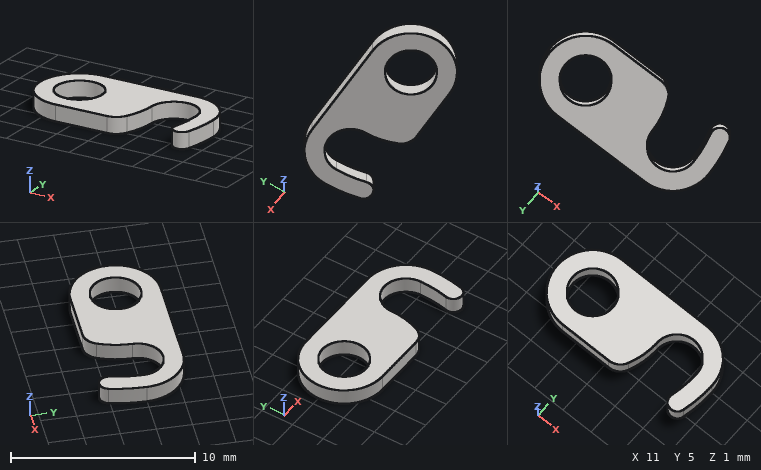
import cadquery as cq
import math

length = 11.0
width = 5.0
thickness = 1.0
hole_diameter = 2.8
corner_radius = 1.0

end_radius = width / 2
hole_radius = hole_diameter / 2
hook_x = length - width

mouth_radius = hook_x - hole_radius
arm_inner_radius = hook_x + hole_radius
arm_outer_radius = hook_x + end_radius

tip_radius = (arm_outer_radius - arm_inner_radius) / 2
tip_path_radius = arm_inner_radius + tip_radius
tip_angle = -math.asin((end_radius - tip_radius) / tip_path_radius)

corner_path_radius = mouth_radius - corner_radius
corner_y = corner_radius - end_radius
corner_angle = math.asin(corner_y / corner_path_radius)
corner_x = corner_path_radius * math.cos(corner_angle)


def on_circle(radius, angle, center=(0, 0)):
    """Point on a circle, with the angle in radians from +X."""
    return (center[0] + radius * math.cos(angle), center[1] + radius * math.sin(angle))


tip_center = on_circle(tip_path_radius, tip_angle)
corner_center = (corner_x, corner_y)
corner_mid_angle = (corner_angle - math.pi / 2) / 2

outline = (
    cq.Workplane("XY")
    .moveTo(0, -end_radius)
    .threePointArc((-end_radius, 0), (0, end_radius))
    .lineTo(hook_x, end_radius)
    .threePointArc(on_circle(end_radius, math.pi / 4, (hook_x, 0)), (arm_outer_radius, 0))
    .threePointArc(on_circle(arm_outer_radius, tip_angle / 2), on_circle(arm_outer_radius, tip_angle))
    .threePointArc(
        on_circle(tip_radius, tip_angle - math.pi / 2, tip_center),
        on_circle(arm_inner_radius, tip_angle),
    )
    .threePointArc(on_circle(arm_inner_radius, tip_angle / 2), (arm_inner_radius, 0))
    .threePointArc((hook_x, hole_radius), (mouth_radius, 0))
    .threePointArc(on_circle(mouth_radius, corner_angle / 2), on_circle(mouth_radius, corner_angle))
    .threePointArc(
        on_circle(corner_radius, corner_mid_angle, corner_center),
        (corner_x, -end_radius),
    )
    .close()
)

plate = outline.extrude(thickness)
pivot_hole = cq.Workplane("XY").circle(hole_radius).extrude(thickness)
result = plate.cut(pivot_hole)